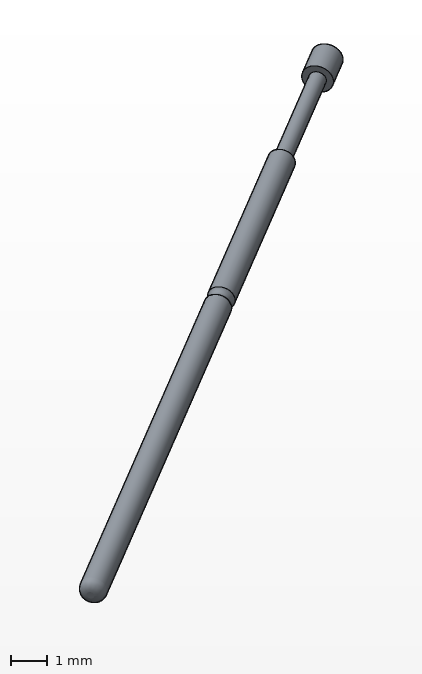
import cadquery as cq


total_length = 24.4

head_diameter = 0.9
head_length = 1.0
plunger_diameter = 0.5
plunger_exposed_length = 3.7

barrel_diameter = 0.78
tail_round_radius = 0.28

groove_center_y = 13.3
groove_width = 0.34
groove_depth = 0.08

head_bottom_y = total_length - head_length
barrel_top_y = head_bottom_y - plunger_exposed_length
groove_bottom_y = groove_center_y - groove_width / 2
groove_top_y = groove_center_y + groove_width / 2

head_radius = head_diameter / 2
plunger_radius = plunger_diameter / 2
barrel_radius = barrel_diameter / 2
groove_floor_radius = barrel_radius - groove_depth


def make_barrel():
    """Barrel with a rounded tail and an arc-shaped crimp groove."""
    profile = (
        cq.Workplane("XY")
        .moveTo(0, 0)
        .lineTo(barrel_radius, 0)
        .lineTo(barrel_radius, groove_bottom_y)
        .threePointArc(
            (groove_floor_radius, groove_center_y),
            (barrel_radius, groove_top_y),
        )
        .lineTo(barrel_radius, barrel_top_y)
        .lineTo(0, barrel_top_y)
        .close()
    )
    barrel = profile.revolve(360, (0, 0, 0), (0, 1, 0))
    return barrel.faces("<Y").edges().fillet(tail_round_radius)


def make_plunger():
    """Thin plunger rod carrying the larger flat contact head."""
    profile = (
        cq.Workplane("XY")
        .moveTo(0, barrel_top_y)
        .lineTo(plunger_radius, barrel_top_y)
        .lineTo(plunger_radius, head_bottom_y)
        .lineTo(head_radius, head_bottom_y)
        .lineTo(head_radius, total_length)
        .lineTo(0, total_length)
        .close()
    )
    return profile.revolve(360, (0, 0, 0), (0, 1, 0))


result = make_barrel().union(make_plunger())